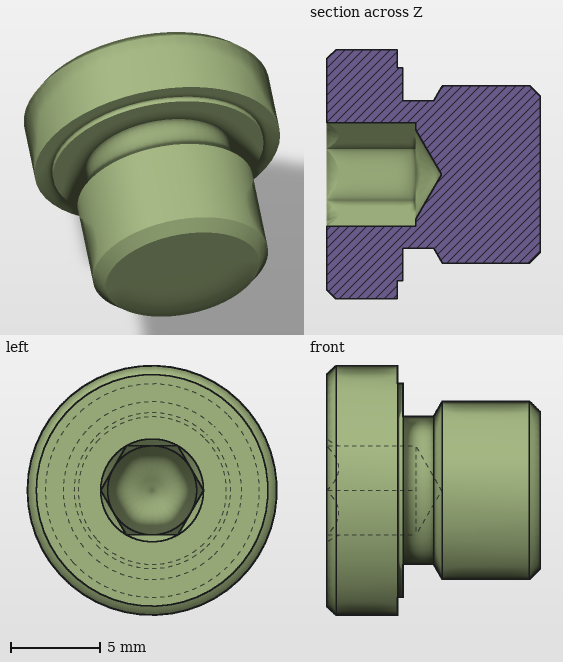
import cadquery as cq
import math

head_diameter = 14.0
head_length = 3.99
head_chamfer = 0.5
head_chamfer_length = 0.53
collar_diameter = 12.0
collar_length = 0.31
neck_diameter = 8.3
neck_length = 1.71
shank_diameter = 10.0
total_length = 12.0
end_chamfer = 0.62
neck_flank_angle = 30.0

hex_across_flats = 5.0
hex_depth = 5.0
hex_across_corners = hex_across_flats / math.cos(math.radians(30))
socket_floor_angle = 120.0
countersink_angle = 60.0


def make_cone(base_diameter, full_angle, base_x):
    """Pointed cone on the X axis, narrowing toward +X from its base."""
    base_radius = base_diameter / 2
    length = base_radius / math.tan(math.radians(full_angle / 2))
    cone = cq.Solid.makeCone(base_radius, 0, length, cq.Vector(base_x, 0, 0), cq.Vector(1, 0, 0))
    return cq.Workplane(cone)


def make_body():
    head_radius = head_diameter / 2
    collar_radius = collar_diameter / 2
    neck_radius = neck_diameter / 2
    shank_radius = shank_diameter / 2
    collar_end = head_length + collar_length
    neck_end = collar_end + neck_length
    flank_length = (shank_radius - neck_radius) * math.tan(math.radians(neck_flank_angle))
    profile = [
        (0, 0),
        (0, head_radius - head_chamfer),
        (head_chamfer_length, head_radius),
        (head_length, head_radius),
        (head_length, collar_radius),
        (collar_end, collar_radius),
        (collar_end, neck_radius),
        (neck_end, neck_radius),
        (neck_end + flank_length, shank_radius),
        (total_length - end_chamfer, shank_radius),
        (total_length, shank_radius - end_chamfer),
        (total_length, 0),
    ]
    return cq.Workplane("XY").polyline(profile).close().revolve(360, (0, 0, 0), (1, 0, 0))


def make_socket():
    hexagon = cq.Workplane("YZ").polygon(6, hex_across_corners).extrude(hex_depth)
    floor = make_cone(hex_across_flats, socket_floor_angle, hex_depth)
    mouth = make_cone(hex_across_corners, countersink_angle, 0)
    return hexagon.union(floor).union(mouth)


result = make_body().cut(make_socket())